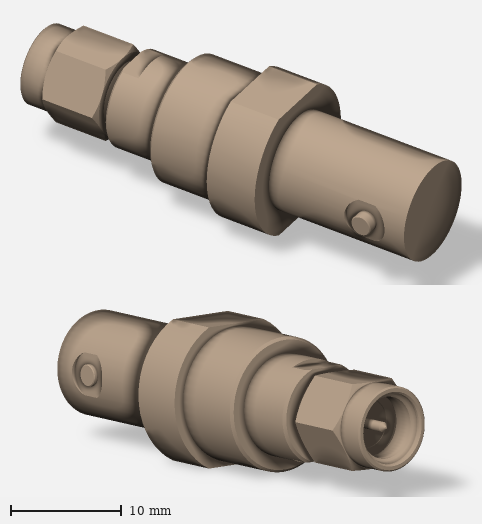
import cadquery as cq
import math


total_length = 41.9
hex_start = 2.55
hex_end = 8.6
shoulder_start = 9.65
wrench_flat_end = 11.65
collar_start = 15.37
flange_start = 22.25
flange_end = 27.4
stud_x = 37.65

nut_ring_diameter = 7.82
neck_diameter = 6.4
shoulder_diameter = 9.5
collar_diameter = 12.45
flange_diameter = 14.5
barrel_diameter = 9.7

hex_across_flats = 8.0
wrench_across_flats = 8.5
flange_across_flats = 13.0

nut_ring_chamfer = 0.15
body_chamfer = 0.25
hex_chamfer_angle = 30.0

entry_diameter = 6.5
entry_chamfer = 0.17
entry_depth = 0.5
bore_diameter = 5.7
relief_diameter = 6.5
relief_start = 2.9
socket_depth = 3.6
insulator_diameter = 4.54
insulator_recess = 0.1

pin_diameter = 0.94
pin_tip_diameter = 0.2
pin_tip_length = 0.45
pin_start = 0.9
pin_embedment = 0.1

stud_diameter = 2.04
stud_chamfer = 0.08
spot_diameter = 4.32
spot_plane = 4.43
front_stud_reach = 5.5
rear_stud_reach = barrel_diameter / 2


def cylinder(start, end, diameter):
    """Cylinder on the X axis between two axial stations."""
    return cq.Workplane("YZ", origin=(start, 0, 0)).circle(diameter / 2).extrude(end - start)


def revolve_profile(points):
    """Solid of revolution about X from a closed outline of (x, radius) points."""
    return cq.Workplane("XY").polyline(points).close().revolve(360, (0, 0, 0), (1, 0, 0))


def slab(start, end, height):
    """Wide block that keeps only the material between two flats facing +Z and -Z."""
    width = 2 * flange_diameter
    return cq.Workplane("XY").box(end - start, width, height).translate(((start + end) / 2, 0, 0))


def make_nut():
    """Coupling nut: plain front ring and a hexagon with chamfered corners."""
    ring = cylinder(0, hex_start, nut_ring_diameter).faces("<X").chamfer(nut_ring_chamfer)

    corner_diameter = hex_across_flats / math.cos(math.pi / 6)
    hexagon = (
        cq.Workplane("YZ", origin=(hex_start, 0, 0))
        .polygon(6, corner_diameter)
        .extrude(hex_end - hex_start)
    )
    flat_radius = hex_across_flats / 2
    corner_radius = corner_diameter / 2
    setback = (corner_radius - flat_radius) * math.tan(math.radians(hex_chamfer_angle))
    chamfer_envelope = revolve_profile([
        (hex_start, 0),
        (hex_start, flat_radius),
        (hex_start + setback, corner_radius),
        (hex_end - setback, corner_radius),
        (hex_end, flat_radius),
        (hex_end, 0),
    ])
    return ring.union(hexagon.intersect(chamfer_envelope))


def make_body():
    """Neck, shoulder with wrench flats, collar, flatted flange and barrel."""
    neck = cylinder(hex_end, shoulder_start, neck_diameter)

    shoulder = cylinder(shoulder_start, collar_start, shoulder_diameter)
    shoulder = shoulder.faces("<X").chamfer(body_chamfer)
    wrench_flats = slab(shoulder_start, wrench_flat_end, wrench_across_flats)
    plain_part = slab(wrench_flat_end, collar_start, flange_diameter)
    shoulder = shoulder.intersect(wrench_flats.union(plain_part))

    collar = cylinder(collar_start, flange_start, collar_diameter)
    collar = collar.faces("<X").chamfer(body_chamfer)

    flange = cylinder(flange_start, flange_end, flange_diameter)
    flange = flange.intersect(slab(flange_start, flange_end, flange_across_flats))

    barrel = cylinder(flange_end, total_length, barrel_diameter)
    return neck.union(shoulder).union(collar).union(flange).union(barrel)


def cut_socket(part):
    """Chamfered, stepped bore in the nut with thread relief and a shallow insulator recess."""
    entry_radius = entry_diameter / 2
    bore_radius = bore_diameter / 2
    relief_radius = relief_diameter / 2
    insulator_radius = insulator_diameter / 2
    insulator_face = socket_depth + insulator_recess
    socket = revolve_profile([
        (0, 0),
        (0, entry_radius + entry_chamfer),
        (entry_chamfer, entry_radius),
        (entry_depth, entry_radius),
        (entry_depth + entry_radius - bore_radius, bore_radius),
        (relief_start, bore_radius),
        (relief_start, relief_radius),
        (socket_depth, relief_radius),
        (socket_depth, insulator_radius),
        (insulator_face, insulator_radius),
        (insulator_face, 0),
    ])
    return part.cut(socket)


def make_pin():
    """Centre pin with a tapered tip, rooted in the socket floor."""
    pin_radius = pin_diameter / 2
    root = socket_depth + insulator_recess + pin_embedment
    return revolve_profile([
        (pin_start, 0),
        (pin_start, pin_tip_diameter / 2),
        (pin_start + pin_tip_length, pin_radius),
        (root, pin_radius),
        (root, 0),
    ])


def add_stud(part, side, reach):
    """Spot-face the barrel on one Y side (+1 or -1) and stand a bayonet stud on it."""
    plane = cq.Workplane("XZ", origin=(stud_x, side * spot_plane, 0))
    spot_face = plane.circle(spot_diameter / 2).extrude(-side * barrel_diameter)
    stud = cq.Workplane("XZ", origin=(stud_x, 0, 0)).circle(stud_diameter / 2).extrude(-side * reach)
    outer_face = ">Y" if side > 0 else "<Y"
    stud = stud.faces(outer_face).chamfer(stud_chamfer)
    return part.cut(spot_face).union(stud)


result = make_nut().union(make_body())
result = cut_socket(result).union(make_pin())
result = add_stud(result, -1, front_stud_reach)
result = add_stud(result, 1, rear_stud_reach)